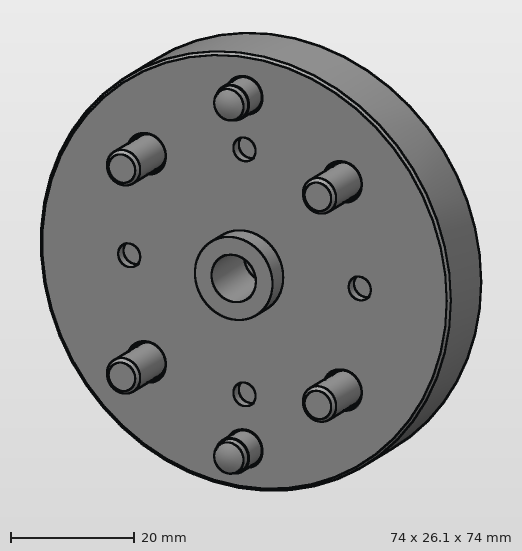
import cadquery as cq
import math


DISC_DIAMETER = 74.0
DISC_THICKNESS = 13.0
FRONT_CHAMFER = 0.5
BACK_CHAMFER_LENGTH = 1.2
BACK_CHAMFER_WIDTH = 1.0

BOSS_DIAMETER = 14.0
BOSS_HEIGHT = 4.0
BORE_DIAMETER = 8.0
BORE_DEPTH = 12.0

PIN_COUNT = 4
FIRST_PIN_ANGLE = 45.0
PIN_DIAMETER = 6.0
PIN_LENGTH = 9.1
PIN_EMBEDDED_LENGTH = 2.0
PIN_CHAMFER = 0.6
PIN_CIRCLE_DIAMETER = 50.0
PIN_RECESS_DIAMETER = 6.8
PIN_RECESS_MOUTH_DIAMETER = 7.0
PIN_RECESS_DEPTH = 1.0

DOWEL_COUNT = 2
FIRST_DOWEL_ANGLE = 90.0
DOWEL_DIAMETER = 6.0
DOWEL_SHANK_LENGTH = 4.5
DOWEL_LENGTH = 6.5
DOWEL_EMBEDDED_LENGTH = 1.0
DOWEL_CIRCLE_DIAMETER = 60.0
DOWEL_TAPER_START_DIAMETER = 5.75
DOWEL_TAPER_END_DIAMETER = 5.3
DOWEL_TAPER_LENGTH = 1.3
DOWEL_DOME_DIAMETER = 4.8
DOWEL_DOME_HEIGHT = 0.55
DOWEL_MOUTH_DIAMETER = 6.5

HOLE_COUNT = 4
FIRST_HOLE_ANGLE = 0.0
HOLE_DIAMETER = 4.0
HOLE_DEPTH = 2.0
HOLE_CIRCLE_DIAMETER = 41.6

STUB_DIAMETER = 12.0
STUB_HEIGHT = 4.0
CAP_THICKNESS = 1.35
CORE_DIAMETER = 8.8
NOTCH_COUNT = 3
NOTCH_HEIGHT = 2.1
NOTCH_SLOPE_ANGLE = 40.0
FIRST_NOTCH_ANGLE = 60.0


def cylinder(diameter, y_start, y_end, x=0.0, z=0.0):
    """Cylinder along Y between two Y positions."""
    base = cq.Workplane("XZ", origin=(x, y_start, z))
    return base.circle(diameter / 2).extrude(y_start - y_end)


def circle_points(circle_diameter, count, first_angle):
    """Evenly spaced (x, z) points on a circle about the disc axis."""
    radius = circle_diameter / 2
    angles = [math.radians(first_angle + 360 / count * i) for i in range(count)]
    return [(radius * math.cos(a), radius * math.sin(a)) for a in angles]


def make_disc():
    """Disc revolved from a half profile, with a small front chamfer and a steeper back chamfer."""
    radius = DISC_DIAMETER / 2
    profile = (
        cq.Workplane("XY")
        .moveTo(0, 0)
        .lineTo(radius - FRONT_CHAMFER, 0)
        .lineTo(radius, FRONT_CHAMFER)
        .lineTo(radius, DISC_THICKNESS - BACK_CHAMFER_LENGTH)
        .lineTo(radius - BACK_CHAMFER_WIDTH, DISC_THICKNESS)
        .lineTo(0, DISC_THICKNESS)
        .close()
    )
    return profile.revolve(360, (0, 0), (0, 1))


def make_countersink(mouth_diameter, bottom_diameter, x, z):
    """45 degree countersink into the front face."""
    depth = (mouth_diameter - bottom_diameter) / 2
    inward = cq.Vector(0, 1, 0)
    cone = cq.Solid.makeCone(mouth_diameter / 2, bottom_diameter / 2, depth, cq.Vector(x, 0, z), inward)
    return cq.Workplane(cone)


def make_pin_recess(x, z):
    """Blind clearance recess with a small countersunk mouth."""
    recess = cylinder(PIN_RECESS_DIAMETER, 0, PIN_RECESS_DEPTH, x, z)
    return recess.union(make_countersink(PIN_RECESS_MOUTH_DIAMETER, PIN_RECESS_DIAMETER, x, z))


def make_pin(x, z):
    pin = cylinder(PIN_DIAMETER, PIN_EMBEDDED_LENGTH, -PIN_LENGTH, x, z)
    return pin.faces("<Y").chamfer(PIN_CHAMFER)


def make_dowel(x, z):
    """Dowel revolved from a half profile: shank, small step, taper, beveled shoulder and shallow dome."""
    shank_radius = DOWEL_DIAMETER / 2
    dome_radius = DOWEL_DOME_DIAMETER / 2
    sphere_radius = (dome_radius**2 + DOWEL_DOME_HEIGHT**2) / (2 * DOWEL_DOME_HEIGHT)
    middle_x = dome_radius / 2
    middle_y = -DOWEL_LENGTH + sphere_radius - math.sqrt(sphere_radius**2 - middle_x**2)
    profile = (
        cq.Workplane("XY")
        .moveTo(0, DOWEL_EMBEDDED_LENGTH)
        .lineTo(shank_radius, DOWEL_EMBEDDED_LENGTH)
        .lineTo(shank_radius, -DOWEL_SHANK_LENGTH)
        .lineTo(DOWEL_TAPER_START_DIAMETER / 2, -DOWEL_SHANK_LENGTH)
        .lineTo(DOWEL_TAPER_END_DIAMETER / 2, -DOWEL_SHANK_LENGTH - DOWEL_TAPER_LENGTH)
        .lineTo(dome_radius, -DOWEL_LENGTH + DOWEL_DOME_HEIGHT)
        .threePointArc((middle_x, middle_y), (0, -DOWEL_LENGTH))
        .close()
    )
    return profile.revolve(360, (0, 0), (0, 1)).translate((x, 0, z))


def make_notch(angle):
    """Wedge under the cap, open radially outward, leaving the round core."""
    cap_underside = DISC_THICKNESS + STUB_HEIGHT - CAP_THICKNESS
    outer = STUB_DIAMETER / 2
    slope_length = NOTCH_HEIGHT / math.tan(math.radians(NOTCH_SLOPE_ANGLE))
    wedge = (
        cq.Workplane("XY")
        .moveTo(outer - slope_length, cap_underside)
        .lineTo(outer, cap_underside)
        .lineTo(outer, cap_underside - NOTCH_HEIGHT)
        .close()
        .extrude(STUB_DIAMETER / 2, both=True)
    )
    core = cylinder(CORE_DIAMETER, DISC_THICKNESS, cap_underside)
    return wedge.cut(core).rotate((0, 0, 0), (0, 1, 0), -angle)


def make_stub():
    stub = cylinder(STUB_DIAMETER, DISC_THICKNESS, DISC_THICKNESS + STUB_HEIGHT)
    for i in range(NOTCH_COUNT):
        stub = stub.cut(make_notch(FIRST_NOTCH_ANGLE + 360 / NOTCH_COUNT * i))
    return stub


def build_part():
    body = make_disc()
    body = body.union(cylinder(BOSS_DIAMETER, 0, -BOSS_HEIGHT))
    body = body.cut(cylinder(BORE_DIAMETER, -BOSS_HEIGHT, BORE_DEPTH - BOSS_HEIGHT))
    body = body.union(make_stub())
    for x, z in circle_points(HOLE_CIRCLE_DIAMETER, HOLE_COUNT, FIRST_HOLE_ANGLE):
        body = body.cut(cylinder(HOLE_DIAMETER, 0, HOLE_DEPTH, x, z))
    for x, z in circle_points(PIN_CIRCLE_DIAMETER, PIN_COUNT, FIRST_PIN_ANGLE):
        body = body.cut(make_pin_recess(x, z))
        body = body.union(make_pin(x, z))
    for x, z in circle_points(DOWEL_CIRCLE_DIAMETER, DOWEL_COUNT, FIRST_DOWEL_ANGLE):
        body = body.cut(make_countersink(DOWEL_MOUTH_DIAMETER, DOWEL_DIAMETER, x, z))
        body = body.union(make_dowel(x, z))
    return body


result = build_part()